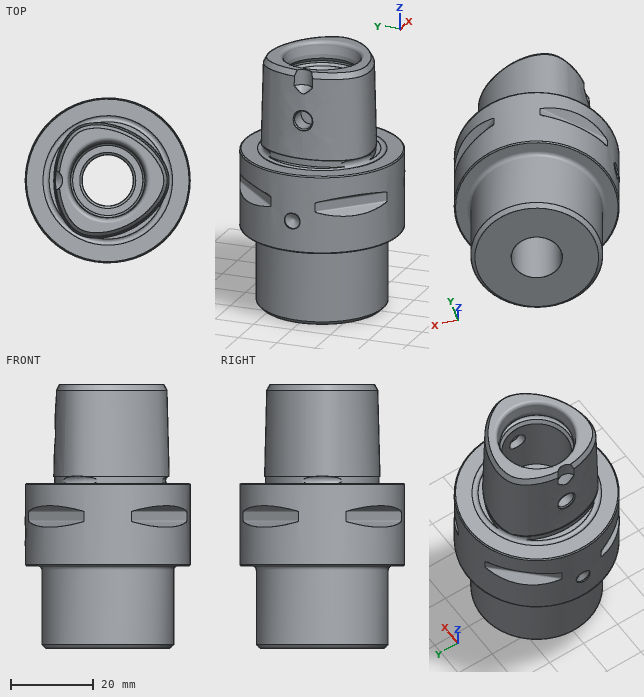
import cadquery as cq
import math

SHANK_LENGTH = 20.0
FLANGE_HEIGHT = 20.0
TAPER_LENGTH = 24.0
FLANGE_FACE_Z = SHANK_LENGTH + FLANGE_HEIGHT
TOP_Z = FLANGE_FACE_Z + TAPER_LENGTH

SHANK_RADIUS = 32.0 / 2
SHANK_CHAMFER = 1.0
SHANK_FILLET = 1.0
FLANGE_RADIUS = 40.0 / 2
FLANGE_CHAMFER = 0.3

TAPER_BASE_RADIUS = 14.0
LOBE_ECCENTRICITY = 0.9
LOBE_HALF_ANGLE = 28.0
LOBES = 3
SPLINE_STEPS = 8
TAPER_SLOPE = 1 / 40
NECK_HEIGHT = 1.7
TAPER_BASE_Z = FLANGE_FACE_Z + NECK_HEIGHT
TIP_HEIGHT = 1.45
TIP_INSET = 0.8
NECK_INSET = 0.2

RELIEF_RING_RADIUS = 14.95
RELIEF_HALF_WIDTH = 0.93
RELIEF_HALF_HEIGHT = 1.1
RELIEF_DEPTH = 0.45

MOUTH_FILLET = 1.0
MOUTH_RADIUS = 9.45
LIP_RADIUS = 18.0 / 2
LIP_START_DEPTH = 3.1
LIP_END_DEPTH = 4.1
GROOVE_RADIUS = 20.0 / 2
GROOVE_FILLET_DEPTH = 5.6
GROOVE_FILLET = 0.9
SEAT_RADIUS = 18.3 / 2
SEAT_DEPTH = 6.15
BORE_RADIUS = 8.5
BORE_START_DEPTH = 7.1
BORE_FLOOR_Z = FLANGE_FACE_Z
THROUGH_RADIUS = 12.38 / 2
THROUGH_CHAMFER = 0.6

GRIP_COUNT = 4
GRIP_Z = 32.0
GRIP_FLOOR_DISTANCE = 17.6
GRIP_FLOOR_HALF_HEIGHT = 1.23
GRIP_WALL_ANGLE = 30.0
GRIP_FILLET = 0.5

DRILL_POINT_ANGLE = 118.0
CROSS_HOLE_RADIUS = 4.6 / 2
CROSS_HOLE_Z = 51.5
CROSS_HOLE_END_X = 10.5
CROSS_HOLE_CHAMFER = 0.3
CROSS_HOLE_MOUTH_X = -12.75
DIMPLE_RADIUS = 4.0 / 2
DIMPLE_Z = 28.0
DIMPLE_DEPTH = 0.4
NOTCH_RADIUS = 2.6
NOTCH_X = -13.55
NOTCH_DEPTH = 3.9
NOTCH_POINT_ANGLE = 90.0


def revolved(profile):
    """Turn an (r, z) profile, drawn in the XZ plane, about the Z axis."""
    return profile.close().revolve(360, (0, 0, 0), (0, 1, 0))


def section_point(radius, angle, z):
    """Point on the three-lobed section, which has one lobe on +X."""
    e = LOBE_ECCENTRICITY
    x = radius * math.cos(angle) + 2 * e * math.cos(2 * angle) - e * math.cos(4 * angle)
    y = radius * math.sin(angle) - 2 * e * math.sin(2 * angle) - e * math.sin(4 * angle)
    return cq.Vector(x, y, z)


def section_tangent(radius, angle):
    """Direction of the section curve, the derivative of section_point."""
    e = LOBE_ECCENTRICITY
    x = -radius * math.sin(angle) - 4 * e * math.sin(2 * angle) + 4 * e * math.sin(4 * angle)
    y = radius * math.cos(angle) - 4 * e * math.cos(2 * angle) - 4 * e * math.cos(4 * angle)
    return cq.Vector(x, y, 0).normalized()


def section_edge(radius, start, end, z):
    """Smooth edge of the section between two angles in degrees."""
    step = (end - start) / SPLINE_STEPS
    angles = [math.radians(start + i * step) for i in range(SPLINE_STEPS + 1)]
    points = [section_point(radius, a, z) for a in angles]
    tangents = [section_tangent(radius, angles[0]), section_tangent(radius, angles[-1])]
    return cq.Edge.makeSpline(points, tangents=tangents)


def section_wire(radius, z):
    """Closed three-lobed section made of alternating lobes and flats."""
    pitch = 360 / LOBES
    edges = []
    for i in range(LOBES):
        middle = i * pitch
        lobe_end = middle + LOBE_HALF_ANGLE
        edges.append(section_edge(radius, middle - LOBE_HALF_ANGLE, lobe_end, z))
        edges.append(section_edge(radius, lobe_end, middle + pitch - LOBE_HALF_ANGLE, z))
    return cq.Wire.assembleEdges(edges)


def lobed_frustum(bottom_radius, bottom_z, top_radius, top_z):
    wires = [section_wire(bottom_radius, bottom_z), section_wire(top_radius, top_z)]
    return cq.Workplane(cq.Solid.makeLoft(wires, True))


def make_shank_and_flange():
    profile = (
        cq.Workplane("XZ")
        .moveTo(0, 0)
        .lineTo(SHANK_RADIUS - SHANK_CHAMFER, 0)
        .lineTo(SHANK_RADIUS, SHANK_CHAMFER)
        .lineTo(SHANK_RADIUS, SHANK_LENGTH - SHANK_FILLET)
        .radiusArc((SHANK_RADIUS + SHANK_FILLET, SHANK_LENGTH), SHANK_FILLET)
        .lineTo(FLANGE_RADIUS - FLANGE_CHAMFER, SHANK_LENGTH)
        .lineTo(FLANGE_RADIUS, SHANK_LENGTH + FLANGE_CHAMFER)
        .lineTo(FLANGE_RADIUS, FLANGE_FACE_Z - FLANGE_CHAMFER)
        .lineTo(FLANGE_RADIUS - FLANGE_CHAMFER, FLANGE_FACE_Z)
        .lineTo(0, FLANGE_FACE_Z)
    )
    return revolved(profile)


def make_taper():
    """Inset neck, tapered body and chamfered tip."""
    shoulder_z = TOP_Z - TIP_HEIGHT
    shoulder_radius = TAPER_BASE_RADIUS - (shoulder_z - TAPER_BASE_Z) * TAPER_SLOPE
    neck_radius = TAPER_BASE_RADIUS - NECK_INSET
    neck = lobed_frustum(neck_radius, FLANGE_FACE_Z, neck_radius, TAPER_BASE_Z)
    body = lobed_frustum(TAPER_BASE_RADIUS, TAPER_BASE_Z, shoulder_radius, shoulder_z)
    tip = lobed_frustum(shoulder_radius, shoulder_z, shoulder_radius - TIP_INSET, TOP_Z)
    return neck.union(body).union(tip)


def make_relief():
    center_z = FLANGE_FACE_Z - RELIEF_DEPTH + RELIEF_HALF_HEIGHT
    return (
        cq.Workplane("XZ")
        .center(RELIEF_RING_RADIUS, center_z)
        .ellipse(RELIEF_HALF_WIDTH, RELIEF_HALF_HEIGHT)
        .revolve(360, (-RELIEF_RING_RADIUS, 0, 0), (-RELIEF_RING_RADIUS, 1, 0))
    )


def make_bore():
    lip_end_z = TOP_Z - LIP_END_DEPTH
    profile = (
        cq.Workplane("XZ")
        .moveTo(0, TOP_Z)
        .lineTo(MOUTH_RADIUS + MOUTH_FILLET, TOP_Z)
        .radiusArc((MOUTH_RADIUS, TOP_Z - MOUTH_FILLET), -MOUTH_FILLET)
        .lineTo(LIP_RADIUS, TOP_Z - LIP_START_DEPTH)
        .lineTo(LIP_RADIUS, lip_end_z)
        .lineTo(GROOVE_RADIUS, lip_end_z - (GROOVE_RADIUS - LIP_RADIUS))
        .lineTo(GROOVE_RADIUS, TOP_Z - GROOVE_FILLET_DEPTH)
        .radiusArc((SEAT_RADIUS, TOP_Z - SEAT_DEPTH), GROOVE_FILLET)
        .lineTo(BORE_RADIUS, TOP_Z - BORE_START_DEPTH)
        .lineTo(BORE_RADIUS, BORE_FLOOR_Z)
        .lineTo(THROUGH_RADIUS + THROUGH_CHAMFER, BORE_FLOOR_Z)
        .lineTo(THROUGH_RADIUS, BORE_FLOOR_Z - THROUGH_CHAMFER)
        .lineTo(THROUGH_RADIUS, 0)
        .lineTo(0, 0)
    )
    return revolved(profile)


def make_grip_grooves():
    """Flared grooves whose flat floors are evenly spaced, midway between the X and Y axes."""
    depth = FLANGE_RADIUS - GRIP_FLOOR_DISTANCE
    mouth_half_height = GRIP_FLOOR_HALF_HEIGHT + depth * math.tan(math.radians(GRIP_WALL_ANGLE))
    groove = (
        cq.Workplane("XZ")
        .polyline([
            (GRIP_FLOOR_DISTANCE, GRIP_Z - GRIP_FLOOR_HALF_HEIGHT),
            (FLANGE_RADIUS, GRIP_Z - mouth_half_height),
            (FLANGE_RADIUS, GRIP_Z + mouth_half_height),
            (GRIP_FLOOR_DISTANCE, GRIP_Z + GRIP_FLOOR_HALF_HEIGHT),
        ])
        .close()
        .extrude(FLANGE_RADIUS, both=True)
        .edges("<X")
        .edges("|Y")
        .fillet(GRIP_FILLET)
    )
    pitch = 360 / GRIP_COUNT
    grooves = cq.Workplane()
    for i in range(GRIP_COUNT):
        grooves = grooves.add(groove.rotate((0, 0, 0), (0, 0, 1), (i + 0.5) * pitch))
    return grooves.combine()


def drill(radius, length, point_angle):
    """Drill along +Z from the origin, with its conical point beyond the given length."""
    point = radius / math.tan(math.radians(point_angle / 2))
    profile = (
        cq.Workplane("XZ")
        .moveTo(0, 0)
        .lineTo(radius, 0)
        .lineTo(radius, length)
        .lineTo(0, length + point)
    )
    return revolved(profile)


def drill_from_minus_x(radius, start_x, end_x, z):
    along_x = drill(radius, end_x - start_x, DRILL_POINT_ANGLE).rotate((0, 0, 0), (0, 1, 0), 90)
    return along_x.translate((start_x, 0, z))


def make_cross_hole():
    """Hole through the -X wall and the bore, ending blind in the +X wall, with a chamfered mouth."""
    hole = drill_from_minus_x(CROSS_HOLE_RADIUS, -FLANGE_RADIUS, CROSS_HOLE_END_X, CROSS_HOLE_Z)
    rim_radius = CROSS_HOLE_RADIUS + CROSS_HOLE_CHAMFER
    chamfer = cq.Solid.makeCone(
        rim_radius,
        0,
        rim_radius,
        cq.Vector(CROSS_HOLE_MOUTH_X, 0, CROSS_HOLE_Z),
        cq.Vector(1, 0, 0),
    )
    rim = cq.Solid.makeCylinder(
        rim_radius,
        FLANGE_RADIUS + CROSS_HOLE_MOUTH_X,
        cq.Vector(-FLANGE_RADIUS, 0, CROSS_HOLE_Z),
        cq.Vector(1, 0, 0),
    )
    return hole.union(cq.Workplane(chamfer)).union(cq.Workplane(rim))


def make_dimple():
    outside_x = -FLANGE_RADIUS - DIMPLE_RADIUS
    return drill_from_minus_x(DIMPLE_RADIUS, outside_x, -FLANGE_RADIUS + DIMPLE_DEPTH, DIMPLE_Z)


def make_notch():
    """Vertical pointed notch in the edge of the taper's tip."""
    downward = drill(NOTCH_RADIUS, NOTCH_DEPTH, NOTCH_POINT_ANGLE).rotate((0, 0, 0), (1, 0, 0), 180)
    return downward.translate((NOTCH_X, 0, TOP_Z))


result = (
    make_shank_and_flange()
    .union(make_taper())
    .cut(make_relief())
    .cut(make_bore())
    .cut(make_grip_grooves())
    .cut(make_cross_hole())
    .cut(make_dimple())
    .cut(make_notch())
)